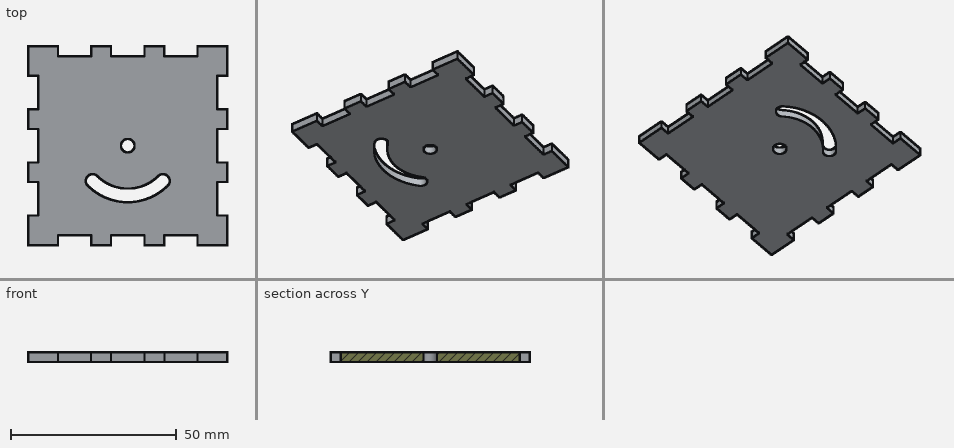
import cadquery as cq
import math

side = 60.0
thickness = 3.0
notch_depth = thickness
corner_length = 9.0
tab_width = 6.0
notch_count = 3
notch_width = (side - 2 * corner_length - (notch_count - 1) * tab_width) / notch_count
notch_pitch = notch_width + tab_width

hole_diameter = 4.0
slot_width = hole_diameter
slot_radius = 15.0
slot_half_angle = 45.0


def edge_notches():
    """Notches along the +X edge."""
    return (
        cq.Workplane("XY")
        .center(side / 2 - notch_depth / 2, 0)
        .rarray(0.6, notch_pitch, 1, notch_count)
        .rect(notch_depth, notch_width)
        .extrude(thickness)
    )


def polar_point(radius, angle):
    """Point at an angle in degrees measured from -Y about the plate centre."""
    turn = math.radians(angle)
    return radius * math.sin(turn), -radius * math.cos(turn)


def curved_slot():
    """Arc slot centred on the pivot hole, with rounded ends."""
    inner_radius = slot_radius - slot_width / 2
    outer_radius = slot_radius + slot_width / 2
    band = (
        cq.Workplane("XY")
        .moveTo(*polar_point(inner_radius, -slot_half_angle))
        .threePointArc(polar_point(inner_radius, 0), polar_point(inner_radius, slot_half_angle))
        .lineTo(*polar_point(outer_radius, slot_half_angle))
        .threePointArc(polar_point(outer_radius, 0), polar_point(outer_radius, -slot_half_angle))
        .close()
        .extrude(thickness)
    )
    end_centres = [polar_point(slot_radius, angle) for angle in (-slot_half_angle, slot_half_angle)]
    ends = cq.Workplane("XY").pushPoints(end_centres).circle(slot_width / 2).extrude(thickness)
    return band.union(ends)


plate = cq.Workplane("XY").rect(side, side).extrude(thickness)
for edge_angle in (0, 90, 180, 270):
    plate = plate.cut(edge_notches().rotate((0, 0, 0), (0, 0, 1), edge_angle))

pivot_hole = cq.Workplane("XY").circle(hole_diameter / 2).extrude(thickness)
result = plate.cut(pivot_hole).cut(curved_slot())